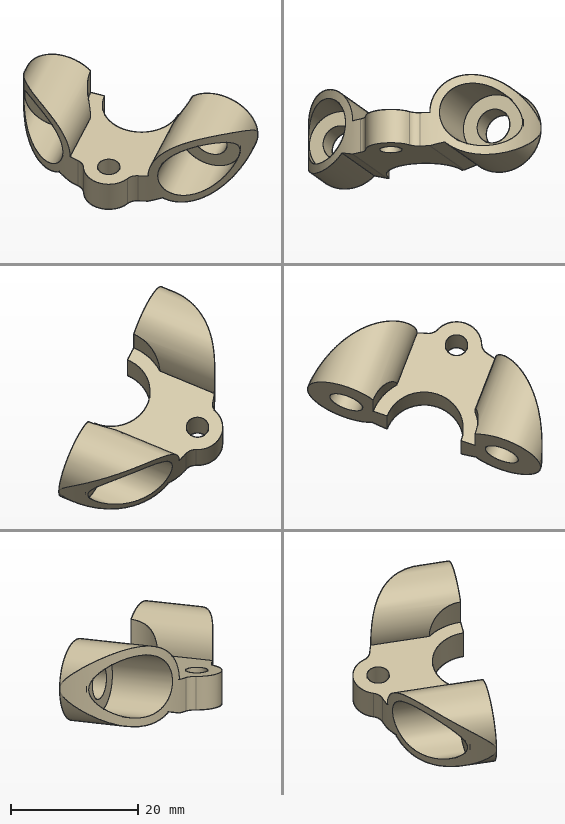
import cadquery as cq
import math

length = 39.0
tube_diameter = 13.0
lug_tip_y = -19.0

socket_diameter = 10.15
bore_diameter = 5.5
tube_end_wall = 4.0
tube_x = (length - tube_diameter) / 2
tube_inner_x = tube_x - tube_diameter / 2

front_center_y = 3.9
front_radius = math.hypot(length / 2, front_center_y)

web_thickness = 5.45
web_slope_angle = 16.5

opening_radius = 6.15
clearance_radius = 8.5

lug_radius = 3.98
lug_y = lug_tip_y + lug_radius
lug_hole_diameter = 3.5
lug_blend_radius = 1.95


def rod(x, diameter, back_y, reach):
    """Cylinder along Y that runs forward from back_y."""
    plane = cq.Workplane("XZ", origin=(x, back_y, 0))
    return plane.circle(diameter / 2).extrude(reach)


def upright(y, radius, bottom, height):
    """Vertical cylinder on the part's middle plane."""
    return cq.Workplane("XY", origin=(0, y, bottom)).circle(radius).extrude(height)


def web():
    """Flat web whose underside rises towards both tubes."""
    rise = (tube_x - tube_inner_x) * math.tan(math.radians(web_slope_angle))
    outer_bottom = rise - web_thickness
    profile = [
        (-tube_x, 0),
        (-tube_x, outer_bottom),
        (-tube_inner_x, -web_thickness),
        (tube_inner_x, -web_thickness),
        (tube_x, outer_bottom),
        (tube_x, 0),
    ]
    return cq.Workplane("XZ").polyline(profile).close().extrude(front_radius)


front_envelope = upright(front_center_y, front_radius, -tube_diameter / 2, tube_diameter)
lug = upright(lug_y, lug_radius, -web_thickness, web_thickness)
body = web().intersect(front_envelope).union(lug)
blend_zone = cq.selectors.BoxSelector(
    (-lug_radius, lug_tip_y, -web_thickness),
    (lug_radius, lug_y, 0),
)
body = body.edges("|Z").edges(blend_zone).fillet(lug_blend_radius)

for side in (-1, 1):
    body = body.union(rod(side * tube_x, tube_diameter, 0, front_radius).intersect(front_envelope))

for side in (-1, 1):
    body = body.cut(rod(side * tube_x, socket_diameter, -tube_end_wall, front_radius))
    body = body.cut(rod(side * tube_x, bore_diameter, 0, front_radius))

body = body.cut(upright(0, clearance_radius, 0, tube_diameter))
body = body.cut(upright(0, opening_radius, -tube_diameter, 2 * tube_diameter))
body = body.cut(upright(lug_y, lug_hole_diameter / 2, -web_thickness, web_thickness))

result = body